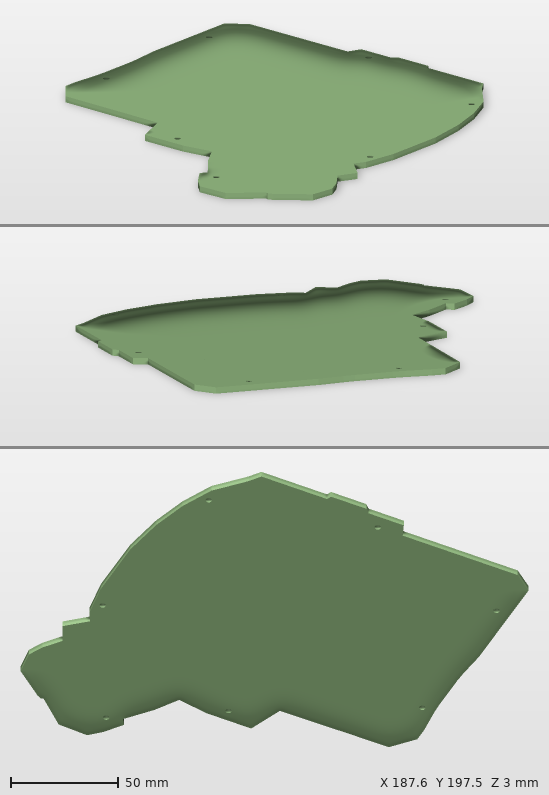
import cadquery as cq

LENGTH_X = 187.56
LENGTH_Y = 197.5
THICKNESS = 3.0

WAIST_CENTRE_Y = 102.1
WAIST_DEPTH = 1.6
WAIST_SHOULDER_DEPTH = 1.3
WAIST_FLAT_HALF = 9.4
WAIST_SHOULDER_HALF = 15.2
WAIST_HALF = 28.2

TOP_LEFT_EDGE_Y = 188.7
TOP_RIGHT_EDGE_Y = 195.2

RIGHT_EDGE_X = 178.1

MIDDLE_BOTTOM_Y = 38.6

SCREW_HOLE_DIAMETER = 3.0
SCREW_HOLE_CENTRES = [
    (7.0, 162.4),
    (7.7, 87.3),
    (82.2, 188.5),
    (160.8, 169.6),
    (172.2, 82.8),
    (87.2, 44.6),
    (135.9, 14.8),
]


def left_waist():
    """Points of the waist on the left side, from its upper end to its lower end."""
    upper_half = [
        (0, WAIST_HALF),
        (WAIST_SHOULDER_DEPTH, WAIST_SHOULDER_HALF),
        (WAIST_DEPTH, WAIST_FLAT_HALF),
    ]
    upper = [(x, WAIST_CENTRE_Y + offset) for x, offset in upper_half]
    lower = [(x, WAIST_CENTRE_Y - offset) for x, offset in reversed(upper_half)]
    return upper + lower


def left_side():
    """Upper left chamfer, waist and lower left chamfer."""
    upper_chamfer = [(9.3, TOP_LEFT_EDGE_Y), (0, 181.4)]
    lower_chamfer = [(0, 67.0), (9.4, 56.1)]
    return upper_chamfer + left_waist() + lower_chamfer


def bottom_side():
    """Slightly falling edge, step down to the middle edge and rise to the thumb area."""
    falling_edge = [(28.9, 55.95), (33.2, 55.9), (36.1, 55.85), (65.9, 55.5)]
    step_down = [(71.2, 41.6)]
    middle_edge = [(72.3, MIDDLE_BOTTOM_Y), (95.6, MIDDLE_BOTTOM_Y)]
    inner_corner = [(111.1, 41.0)]
    return falling_edge + step_down + middle_edge + inner_corner


def thumb_area():
    """Lobe at the lower right, from its inner left flank round to the notch above it."""
    left_flank = [(118.3, 29.6), (128.5, 17.4), (126.3, 14.1), (132.6, 5.4)]
    lowest_edge = [(138.4, 0), (153.5, 0.6)]
    lower_right = [(167.7, 13.2), (169.1, 12.9), (171.1, 13.8), (185.9, 25.3)]
    right_tip = [(LENGTH_X, 37.3), (184.2, 44.3)]
    upper_notches = [(177.8, 52.7), (182.4, 61.7), (172.6, 70.4)]
    return left_flank + lowest_edge + lower_right + right_tip + upper_notches


def right_side():
    """Straight facets bowing round from the thumb area to the top edge."""
    lower_facets = [(175.5, 75.9), (RIGHT_EDGE_X, 92.6)]
    upper_facets = [
        (RIGHT_EDGE_X, 123.1),
        (174.9, 143.4),
        (169.9, 160.5),
        (162.7, 176.0),
        (158.1, 181.0),
        (150.1, 189.8),
        (146.3, TOP_RIGHT_EDGE_Y),
    ]
    return lower_facets + upper_facets


def top_side():
    """Top edge with its raised tab, then the step down to the left part."""
    raised_tab = [
        (112.1, TOP_RIGHT_EDGE_Y),
        (111.1, LENGTH_Y),
        (92.7, LENGTH_Y),
        (90.4, TOP_RIGHT_EDGE_Y),
    ]
    step_down = [(72.0, TOP_RIGHT_EDGE_Y), (69.3, TOP_LEFT_EDGE_Y)]
    return raised_tab + step_down


def plate():
    """Plate body, its outline running counter-clockwise from the upper left."""
    outline = left_side() + bottom_side() + thumb_area() + right_side() + top_side()
    return cq.Workplane("XY").polyline(outline).close().extrude(THICKNESS)


def screw_holes():
    """Cylinders to cut through the plate at every screw position."""
    centres = cq.Workplane("XY").pushPoints(SCREW_HOLE_CENTRES)
    return centres.circle(SCREW_HOLE_DIAMETER / 2).extrude(THICKNESS)


result = plate().cut(screw_holes())